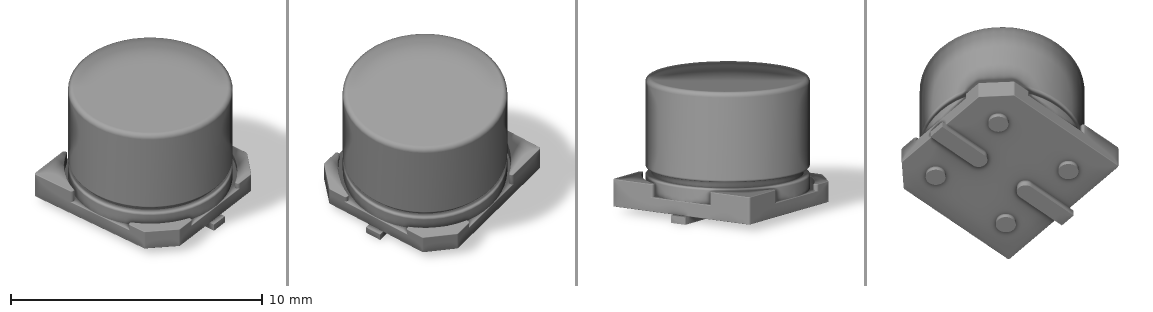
import cadquery as cq

lead_height = 0.3
peg_bottom = 0.105
floor_top = 0.88
low_pad_top = 1.15
high_pad_top = 1.415
groove_bottom = 1.5
groove_top = 1.75
can_top = 5.4

can_diameter = 6.55
neck_diameter = 6.05
crown_radius = 0.195
upper_bead_radius = 0.1
lower_bead_radius = 0.085

base_side = 6.6
polarity_chamfer = 1.0
corner_radius = 0.1
edge_radius = 0.025
high_pad_pocket_diameter = 6.845
low_pad_pocket_diameter = 6.915
high_pad_gap = 2.745
low_pad_gap = 2.94

lead_span = 7.0
lead_width = 0.7
lead_inner_gap = 1.8
peg_diameter = 0.8
peg_offset = 1.87

half_side = base_side / 2


def make_base_block(bottom, top):
    """Square block with two chamfered corners on +X and rounded vertical edges."""
    return (
        cq.Workplane("XY")
        .workplane(offset=bottom)
        .rect(base_side, base_side)
        .extrude(top - bottom)
        .edges("|Z and >X")
        .chamfer(polarity_chamfer)
        .edges("|Z")
        .fillet(corner_radius)
    )


def make_plate():
    """Floor of the base, with softened bottom and top outlines."""
    plate = make_base_block(lead_height, floor_top)
    return plate.faces("<Z or >Z").edges().fillet(edge_radius)


def make_pad(x_side, y_side, gap, top, pocket_diameter):
    """Corner pad: the base outline in one quadrant, outside the round pocket."""
    bottom = (lead_height + floor_top) / 2
    height = top - bottom
    pocket = cq.Workplane("XY").workplane(offset=bottom).circle(pocket_diameter / 2).extrude(height)
    quadrant_center = (gap + base_side) / 2
    quadrant = (
        cq.Workplane("XY")
        .workplane(offset=bottom)
        .center(x_side * quadrant_center, y_side * quadrant_center)
        .rect(base_side, base_side)
        .extrude(height)
    )
    pad = make_base_block(bottom, top).intersect(quadrant).cut(pocket)

    middle = (bottom + top) / 2
    near_y_face = cq.selectors.NearestToPointSelector((x_side * gap / 2, y_side * half_side, middle))
    near_x_face = cq.selectors.NearestToPointSelector((x_side * half_side, y_side * gap / 2, middle))
    pad = pad.edges(near_y_face + near_x_face).fillet(corner_radius)
    return pad.faces(">Z").edges().fillet(edge_radius)


def make_can_section(diameter, bottom, top):
    """Plain cylinder on the Z axis between two heights."""
    return cq.Workplane("XY").workplane(offset=bottom).circle(diameter / 2).extrude(top - bottom)


def make_can():
    """Round can: lower rim, narrow crimped neck and tall body."""
    rim_bottom = floor_top - edge_radius
    rim = make_can_section(can_diameter, rim_bottom, groove_bottom)
    rim = rim.faces(">Z").edges().fillet(lower_bead_radius)
    neck = make_can_section(neck_diameter, floor_top, groove_top + upper_bead_radius)
    body = make_can_section(can_diameter, groove_top, can_top)
    body = body.faces(">Z").edges().fillet(crown_radius)
    body = body.faces("<Z").edges().fillet(upper_bead_radius)
    return rim.union(neck).union(body)


def make_lead(x_side):
    """Flat lead with a full-round inner end."""
    lead_radius = lead_width / 2
    inner_center = lead_inner_gap / 2 + lead_radius
    strip_length = lead_span / 2 - inner_center
    strip = (
        cq.Workplane("XY")
        .center(x_side * (inner_center + strip_length / 2), 0)
        .rect(strip_length, lead_width)
        .extrude(lead_height)
    )
    tip = cq.Workplane("XY").center(x_side * inner_center, 0).circle(lead_radius).extrude(lead_height)
    return strip.union(tip)


def make_pegs():
    """Four round standoff pegs under the plate."""
    return (
        cq.Workplane("XY")
        .workplane(offset=peg_bottom)
        .rect(2 * peg_offset, 2 * peg_offset, forConstruction=True)
        .vertices()
        .circle(peg_diameter / 2)
        .extrude(lead_height - peg_bottom)
    )


result = make_plate().union(make_can()).union(make_pegs())
pad_sizes = (
    (-1, high_pad_gap, high_pad_top, high_pad_pocket_diameter),
    (1, low_pad_gap, low_pad_top, low_pad_pocket_diameter),
)
for x_side, gap, top, pocket_diameter in pad_sizes:
    result = result.union(make_lead(x_side))
    for y_side in (-1, 1):
        result = result.union(make_pad(x_side, y_side, gap, top, pocket_diameter))